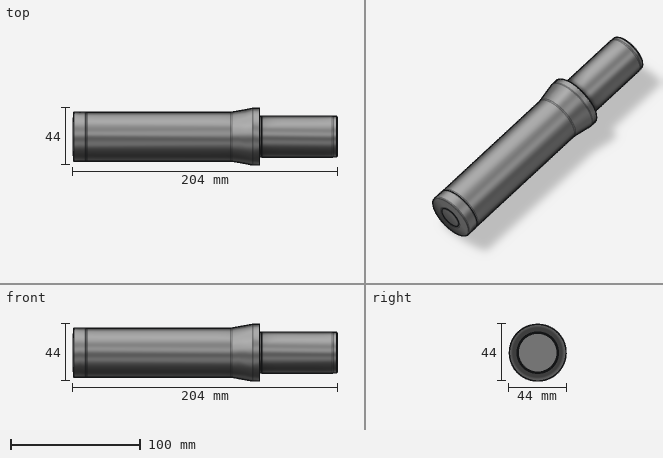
import cadquery as cq
import math

total_length = 203.99
shank_length = 60.0
flange_back = total_length - shank_length
head_length = 10.0
collar_start = 121.5

tip_flat_radius = 8.25
groove_bottom_radius = 8.9
groove_outer_radius = 10.1
groove_depth = 0.15
face_angle = math.radians(3.5)
head_radius = 19.15
corner_radius = 0.8
head_back_taper = 0.05
head_end_bevel_length = 0.6

body_radius = 38.0 / 2
body_lead_length = 1.2
body_lead_drop = 0.02
joint_radius = body_radius - body_lead_drop
collar_lead_length = 1.2
collar_lead_rise = 0.1
flange_radius = 44.0 / 2
flange_width = 5.1
flange_front_bevel_length = 0.6
flange_front_bevel_drop = 0.05
flange_back_chamfer = 0.3

shank_radius = 32.0 / 2
relief_radius = 31.5 / 2
front_relief_length = 1.2
front_relief_taper = 0.7
rear_relief_length = 3.0
rear_relief_taper = 1.2
end_chamfer = 0.8


def revolve_about_x(outline):
    """Close an outline of (x, radius) points and revolve it about the X axis."""
    return outline.close().revolve(360, (0, 0, 0), (1, 0, 0))


def make_head():
    """Cutting head: shallow conical face, ring groove and rounded outer corner."""
    rim_radius = head_radius - corner_radius
    rim_x = (rim_radius - groove_outer_radius) * math.tan(face_angle)
    corner_slant = corner_radius * math.sin(math.pi / 4)
    corner_mid = (rim_x + corner_radius - corner_slant, rim_radius + corner_slant)
    corner_end = (rim_x + corner_radius, head_radius)
    outline = (
        cq.Workplane("XZ")
        .polyline([
            (0, 0),
            (0, tip_flat_radius),
            (groove_depth, groove_bottom_radius),
            (0, groove_outer_radius),
            (rim_x, rim_radius),
        ])
        .threePointArc(corner_mid, corner_end)
        .lineTo(head_length - head_end_bevel_length, head_radius - head_back_taper)
        .lineTo(head_length, joint_radius)
        .lineTo(head_length, 0)
    )
    return revolve_about_x(outline)


def make_holder():
    """Drill body with its conical flange and the relieved cylindrical shank."""
    flange_front = flange_back - flange_width
    relief_front_end = flange_back + front_relief_length
    relief_rear_start = total_length - rear_relief_length
    outline = cq.Workplane("XZ").polyline([
        (head_length, 0),
        (head_length, joint_radius),
        (head_length + body_lead_length, body_radius),
        (collar_start, body_radius),
        (collar_start + collar_lead_length, body_radius + collar_lead_rise),
        (flange_front - flange_front_bevel_length, flange_radius - flange_front_bevel_drop),
        (flange_front, flange_radius),
        (flange_back - flange_back_chamfer, flange_radius),
        (flange_back, flange_radius - flange_back_chamfer),
        (flange_back, relief_radius),
        (relief_front_end, relief_radius),
        (relief_front_end + front_relief_taper, shank_radius),
        (relief_rear_start - rear_relief_taper, shank_radius),
        (relief_rear_start, relief_radius),
        (total_length - end_chamfer, relief_radius),
        (total_length, relief_radius - end_chamfer),
        (total_length, 0),
    ])
    return revolve_about_x(outline)


head = make_head()
holder = make_holder()

result = cq.Compound.makeCompound([head.val(), holder.val()])